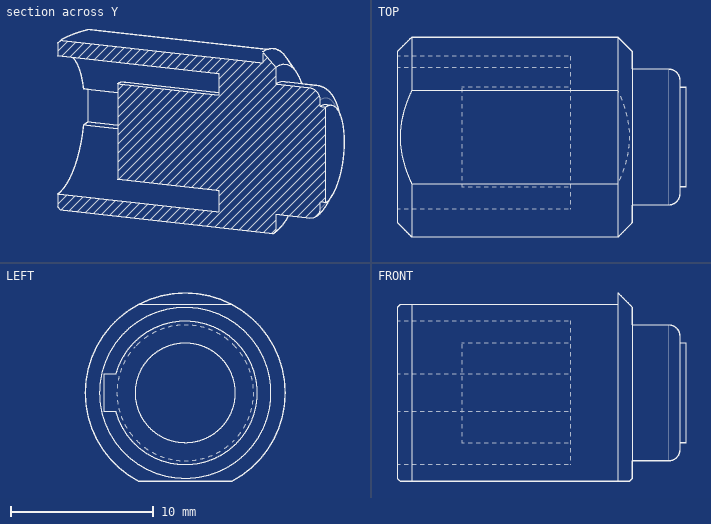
import cadquery as cq

total_length = 20.2
body_length = 16.45
tip_length = 0.42
tip_start = total_length - tip_length
bore_depth = 12.12
pin_recess = 4.5

body_radius = 7.0
boss_radius = 4.77
pin_radius = 3.5
bore_radius = 5.03

body_chamfer = 1.0
boss_round = 0.8

flat_height = 6.191
top_flat_end = body_length - body_chamfer
keyway_width = 2.63
keyway_reach = 5.68


def rod(start, end, radius):
    """Cylinder along X between two stations."""
    return cq.Workplane("YZ", origin=(start, 0, 0)).circle(radius).extrude(end - start)


def flat_cutter(length, side):
    """Block that removes the body beyond one flat; side is +1 (top) or -1 (bottom)."""
    depth = body_radius - flat_height
    return cq.Workplane("XY").box(length, 2 * body_radius, depth, centered=(False, True, True)).translate(
        (0, 0, side * (flat_height + depth / 2))
    )


body = rod(0, body_length, body_radius).edges().chamfer(body_chamfer)
body = body.cut(flat_cutter(top_flat_end, 1))
body = body.cut(flat_cutter(body_length, -1))

boss = rod(body_length, tip_start, boss_radius).faces(">X").edges().fillet(boss_round)

pin = rod(pin_recess, total_length, pin_radius)

bore = rod(0, bore_depth, bore_radius)
keyway = cq.Workplane("XY").box(bore_depth, keyway_reach, keyway_width, centered=(False, False, True))

result = body.union(boss).cut(bore).cut(keyway).union(pin)